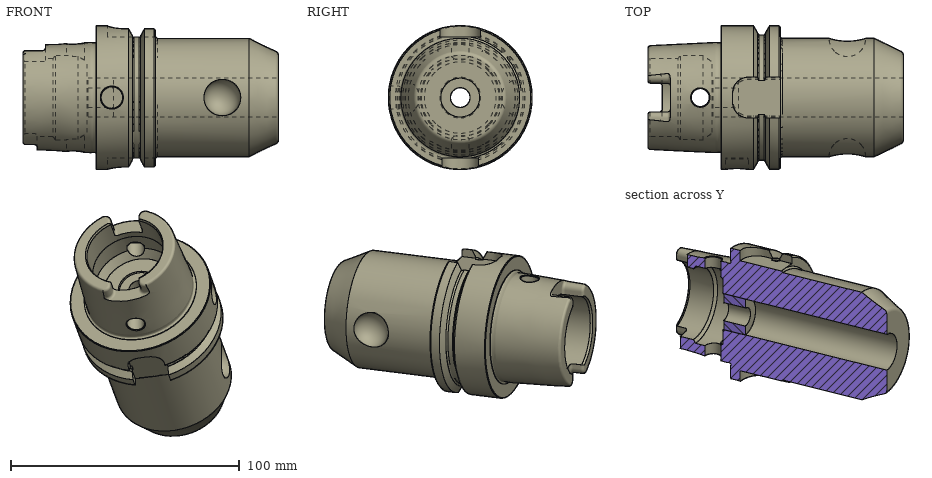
import cadquery as cq
import math


tail_length = 31.9
tail_end_radius = 22.7
taper_large_radius = 24.2
taper_end_x = -2.1
neck_start_x = -1.1
neck_radius = 24.1
neck_fillet = 0.7
face_recess_radius = 25.2
face_recess_depth = 0.2
tail_edge_fillet = 1.2

flange_radius = 63.0 / 2
flange_length = 26.1
front_chamfer = 0.3
rear_chamfer = 0.7
groove_radius = 27.5
groove_bottom_start_x = 16.1
groove_bottom_end_x = 19.6
groove_cone_width = 1.8
groove_cone_angle = 30.0
groove_cone_height = groove_cone_width / math.tan(math.radians(groove_cone_angle))
groove_fillet = 0.7

overall_length = 111.9
body_end_x = overall_length - tail_length
body_radius = 26.0
body_fillet = 0.9
nose_start_x = 67.1
nose_end_radius = 19.7
nose_fillet = 2.1

cavity_radius = 17.0
cavity_depth = 28.0
mouth_chamfer_width = 0.5
mouth_chamfer_depth = 1.0
undercut_radius = 18.5
undercut_cone_length = 1.1
undercut_start = 13.1
undercut_end = 24.1
cavity_floor_radius = 15.7
cavity_floor_x = cavity_depth - tail_length
bore_radius = 8.5
bore_chamfer = 0.5

plug_length = 11.2
plug_hole_radius = 4.3

slot_half_width = 6.3
slot_wall_height = 17.9
slot_shoulder_height = 20.6
slot_shoulder_radius = slot_shoulder_height - slot_wall_height
slot_end_fillet = 1.2
top_slot_length = 9.8
bottom_slot_length = 6.3

keyway_floor_height = 26.5
keyway_corner_radius = 7.0
top_keyway_width = 17.9
top_keyway_start_x = 5.1
bottom_keyway_width = 16.0
bottom_keyway_start_x = 5.1

cross_hole_x = -9.0
cross_hole_radius = 3.9
cross_hole_chamfer = 0.3

chip_pocket_x = 7.0
chip_pocket_radius = 5.0
chip_pocket_depth = 5.0
chip_pocket_chamfer = 0.3

dimple_x = 55.4
dimple_radius = 8.1

clearance = 5.6

pick_margin = 1.1


def turned_blank():
    """Solid of revolution: tail, flange, gripper groove, body and nose."""
    cone_start_x = groove_bottom_start_x - groove_cone_width
    cone_end_x = groove_bottom_end_x + groove_cone_width
    wall_radius = flange_radius - groove_cone_height
    profile = (
        cq.Workplane("XY")
        .moveTo(-tail_length, 0)
        .lineTo(-tail_length, tail_end_radius)
        .lineTo(taper_end_x, taper_large_radius)
        .lineTo(neck_start_x, neck_radius)
        .lineTo(face_recess_depth - neck_fillet, neck_radius)
        .radiusArc((face_recess_depth, neck_radius + neck_fillet), -neck_fillet)
        .lineTo(face_recess_depth, face_recess_radius)
        .lineTo(0, face_recess_radius)
        .lineTo(0, flange_radius - front_chamfer)
        .lineTo(front_chamfer, flange_radius)
        .lineTo(cone_start_x, flange_radius)
        .lineTo(groove_bottom_start_x, wall_radius)
        .lineTo(groove_bottom_start_x, groove_radius + groove_fillet)
        .radiusArc((groove_bottom_start_x + groove_fillet, groove_radius), -groove_fillet)
        .lineTo(groove_bottom_end_x - groove_fillet, groove_radius)
        .radiusArc((groove_bottom_end_x, groove_radius + groove_fillet), -groove_fillet)
        .lineTo(groove_bottom_end_x, wall_radius)
        .lineTo(cone_end_x, flange_radius)
        .lineTo(flange_length - rear_chamfer, flange_radius)
        .lineTo(flange_length, flange_radius - rear_chamfer)
        .lineTo(flange_length, body_radius + body_fillet)
        .radiusArc((flange_length + body_fillet, body_radius), -body_fillet)
        .lineTo(nose_start_x, body_radius)
        .lineTo(body_end_x, nose_end_radius)
        .lineTo(body_end_x, 0)
        .close()
    )
    blank = profile.revolve(360, (0, 0, 0), (1, 0, 0))
    return blank.faces(">X").edges().fillet(nose_fillet)


def axial_cylinder(start_x, end_x, radius):
    return cq.Workplane("YZ", origin=(start_x, 0, 0)).circle(radius).extrude(end_x - start_x)


def tail_cavity():
    """Bore with a chamfered mouth, a wider undercut behind it and a conical inner end."""
    mouth_x = -tail_length
    return (
        cq.Workplane("XY")
        .moveTo(mouth_x, 0)
        .lineTo(mouth_x, cavity_radius + mouth_chamfer_width)
        .lineTo(mouth_x + mouth_chamfer_depth, cavity_radius)
        .lineTo(mouth_x + undercut_start, cavity_radius)
        .lineTo(mouth_x + undercut_start + undercut_cone_length, undercut_radius)
        .lineTo(mouth_x + undercut_end, undercut_radius)
        .lineTo(cavity_floor_x, cavity_floor_radius)
        .lineTo(cavity_floor_x, 0)
        .close()
        .revolve(360, (0, 0, 0), (1, 0, 0))
    )


def plug_bore():
    """Cutter for the bore from the cavity floor to the nose, chamfered at the floor."""
    return (
        cq.Workplane("XY")
        .moveTo(cavity_floor_x, 0)
        .lineTo(cavity_floor_x, bore_radius + bore_chamfer)
        .lineTo(cavity_floor_x + bore_chamfer, bore_radius)
        .lineTo(body_end_x, bore_radius)
        .lineTo(body_end_x, 0)
        .close()
        .revolve(360, (0, 0, 0), (1, 0, 0))
    )


def drive_slot(length):
    """Cutter for the +Z slot: straight walls that round outward into flat shoulders."""
    reach = taper_large_radius + clearance
    shoulder_start = slot_half_width + slot_shoulder_radius
    slot = (
        cq.Workplane("YZ", origin=(-tail_length - clearance, 0, 0))
        .moveTo(-slot_half_width, 0)
        .lineTo(slot_half_width, 0)
        .lineTo(slot_half_width, slot_wall_height)
        .radiusArc((shoulder_start, slot_shoulder_height), slot_shoulder_radius)
        .lineTo(reach, slot_shoulder_height)
        .lineTo(reach, reach)
        .lineTo(-reach, reach)
        .lineTo(-reach, slot_shoulder_height)
        .lineTo(-shoulder_start, slot_shoulder_height)
        .radiusArc((-slot_half_width, slot_wall_height), slot_shoulder_radius)
        .close()
        .extrude(length + clearance)
    )
    inner_reach = reach - pick_margin
    side_walls = cq.selectors.BoxSelector(
        (-tail_length, -inner_reach, pick_margin), (0, inner_reach, inner_reach)
    )
    return slot.faces(">X").edges(side_walls).fillet(slot_end_fillet)


def keyway(width, start_x):
    """Cutter for the +Z keyway: rounded at its -X end and open toward the body."""
    depth = flange_radius + clearance - keyway_floor_height
    length = flange_length + clearance - start_x
    return (
        cq.Workplane("XY", origin=(start_x + length / 2, 0, keyway_floor_height))
        .rect(length, width)
        .extrude(depth)
        .edges("|Z and <X")
        .fillet(keyway_corner_radius)
    )


def turned_over(shape):
    return shape.rotate((0, 0, 0), (1, 0, 0), 180)


def cross_hole():
    """Cutter for the hole along Z through the tail."""
    return (
        cq.Workplane("XY", origin=(cross_hole_x, 0, -flange_radius))
        .circle(cross_hole_radius)
        .extrude(2 * flange_radius)
    )


def cross_hole_rim(side):
    """Box around the outer rim of the cross hole on the +Z (1) or -Z (-1) side."""
    reach = cross_hole_radius + pick_margin
    mid_wall_radius = (undercut_radius + taper_large_radius) / 2
    low_corner = (cross_hole_x - reach, -reach, side * mid_wall_radius)
    high_corner = (cross_hole_x + reach, reach, side * taper_large_radius)
    return cq.selectors.BoxSelector(low_corner, high_corner)


def chip_pocket():
    return (
        cq.Workplane("XZ", origin=(chip_pocket_x, -flange_radius + chip_pocket_depth, 0))
        .circle(chip_pocket_radius)
        .extrude(chip_pocket_depth + clearance)
        .faces(">Y")
        .chamfer(chip_pocket_chamfer)
    )


def dimple(side):
    """Ball-shaped cutter centered on the body's surface on the +Y (1) or -Y (-1) side."""
    return cq.Workplane("XY", origin=(dimple_x, side * body_radius, 0)).sphere(dimple_radius)


def make_housing():
    housing = turned_blank()
    housing = housing.cut(drive_slot(top_slot_length))
    housing = housing.cut(turned_over(drive_slot(bottom_slot_length)))
    housing = housing.faces("<X").edges().fillet(tail_edge_fillet)
    housing = housing.cut(tail_cavity())
    housing = housing.cut(plug_bore())
    housing = housing.cut(keyway(top_keyway_width, top_keyway_start_x))
    housing = housing.cut(turned_over(keyway(bottom_keyway_width, bottom_keyway_start_x)))
    housing = housing.cut(cross_hole())
    for side in (1, -1):
        housing = housing.edges(cross_hole_rim(side)).chamfer(cross_hole_chamfer)
    housing = housing.cut(chip_pocket())
    for side in (1, -1):
        housing = housing.cut(dimple(side))
    return housing


def make_plug():
    plug_start_x = cavity_floor_x + bore_chamfer
    plug_end_x = plug_start_x + plug_length
    plug = axial_cylinder(plug_start_x, plug_end_x, bore_radius)
    return plug.cut(axial_cylinder(plug_start_x, plug_end_x, plug_hole_radius))


housing = make_housing()
plug = make_plug()

result = cq.Compound.makeCompound([housing.val(), plug.val()])